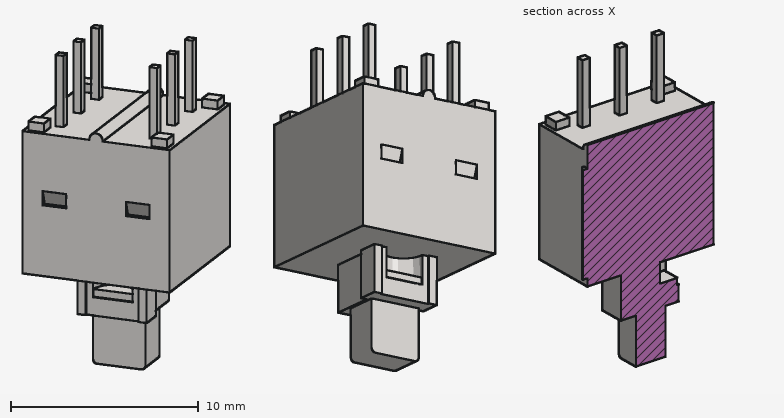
import cadquery as cq


overall_height = 17.7

housing_width = 8.5
housing_depth = housing_width
housing_height = 8.0
housing_front = -housing_depth / 2
housing_back = housing_depth / 2

pin_width = 0.45
pin_depth = 0.5
pin_length = 4.0
pin_row_spacing = 5.4
pin_pitch = 2.5
pin_offset_y = -0.05

foot_size = 0.9
foot_height = 0.5
foot_margin = 0.25

top_rib_radius = 0.39
top_rib_axis_height = 0.02
back_rib_radius = 0.3
back_rib_bottom = 0.5
back_rib_height = 6.51

latch_width = 1.35
latch_height = 0.8
latch_depth = 0.28
latch_spacing = 4.8
latch_bottom = 3.98

collar_size = 4.0
collar_height = 2.69
collar_front = -collar_size / 2
front_section_depth = 1.3
side_recess = 0.35
front_recess = 0.1

window_width = 2.3
window_height = 1.66
window_depth = 0.1
groove_height = 1.24

plunger_width = 3.03
plunger_depth = 2.0
plunger_corner_radius = 0.25
plunger_length = overall_height - pin_length - housing_height - collar_height


def block(x_size, y_size, z_size, x, y, z):
    """Box centred on x and y, with its underside at z."""
    return cq.Workplane("XY").box(x_size, y_size, z_size, centered=(True, True, False)).translate((x, y, z))


def make_housing():
    housing = block(housing_width, housing_depth, housing_height, 0, 0, 0)
    top_rib = (
        cq.Workplane("XZ", origin=(0, housing_back, housing_height + top_rib_axis_height))
        .circle(top_rib_radius)
        .extrude(housing_depth)
    )
    back_rib = (
        cq.Workplane("XY", origin=(0, housing_back, back_rib_bottom))
        .circle(back_rib_radius)
        .extrude(back_rib_height)
    )
    return housing.union(top_rib).union(back_rib)


def make_latch_pocket(x):
    """Wedge with a flat floor and a back wall that leans out to the top front edge."""
    return (
        cq.Workplane("YZ", origin=(x - latch_width / 2, housing_front, latch_bottom))
        .polyline([(0, 0), (latch_depth, 0), (0, latch_height)])
        .close()
        .extrude(latch_width)
    )


def make_collar():
    """Square collar with recessed sides behind its front section and a recessed, windowed front."""
    back_width = collar_size - 2 * side_recess
    collar = block(back_width, collar_size, collar_height, 0, 0, -collar_height)
    front_section_y = collar_front + front_section_depth / 2
    collar = collar.union(
        block(collar_size, front_section_depth, collar_height, 0, front_section_y, -collar_height)
    )
    recess_y = collar_front + front_recess / 2
    collar = collar.cut(block(plunger_width, front_recess, collar_height, 0, recess_y, -collar_height))

    recess_floor = collar_front + front_recess
    window_y = recess_floor + window_depth / 2
    window = block(window_width, window_depth, window_height, 0, window_y, -window_height)
    groove = (
        cq.Workplane("XY", origin=(0, recess_floor + window_depth, -groove_height))
        .circle(window_width / 2)
        .extrude(groove_height)
    )
    return collar.cut(window).cut(groove)


def make_plunger():
    plunger = block(plunger_width, plunger_depth, plunger_length, 0, 0, -collar_height - plunger_length)
    bottom_side_edges = plunger.faces("<Z").edges("|Y")
    return bottom_side_edges.fillet(plunger_corner_radius)


result = make_housing().union(make_collar()).union(make_plunger())

foot_offset_x = housing_width / 2 - foot_margin - foot_size / 2
foot_offset_y = housing_depth / 2 - foot_margin - foot_size / 2
for side in (-1, 1):
    result = result.cut(make_latch_pocket(side * latch_spacing / 2))
    for row in (-1, 0, 1):
        pin_x = side * pin_row_spacing / 2
        pin_y = row * pin_pitch + pin_offset_y
        result = result.union(block(pin_width, pin_depth, pin_length, pin_x, pin_y, housing_height))
    for end in (-1, 1):
        foot_x = side * foot_offset_x
        foot_y = end * foot_offset_y
        result = result.union(block(foot_size, foot_size, foot_height, foot_x, foot_y, housing_height))